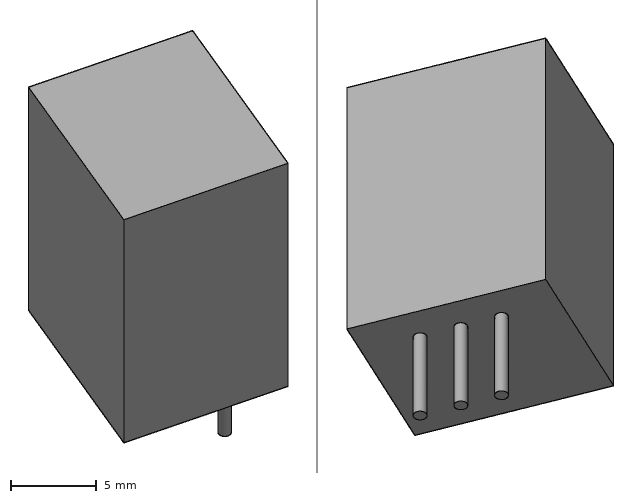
import cadquery as cq

TOTAL_HEIGHT = 23.82
HOUSING_WIDTH = 12.45
HOUSING_DEPTH = 10.67
HOUSING_HEIGHT = 17.98

PIN_COUNT = 3
PIN_DIAMETER = 0.8
PIN_PITCH = 2.55
PIN_ROW_Y = 3.05
PIN_LENGTH = TOTAL_HEIGHT - HOUSING_HEIGHT


def make_housing():
    """Plain rectangular block standing on the upper ends of the pins."""
    return (
        cq.Workplane("XY")
        .workplane(offset=PIN_LENGTH)
        .rect(HOUSING_WIDTH, HOUSING_DEPTH)
        .extrude(HOUSING_HEIGHT)
    )


def make_pin(x):
    """Straight round pin whose upper end touches the housing's underside."""
    return (
        cq.Workplane("XY")
        .center(x, PIN_ROW_Y)
        .circle(PIN_DIAMETER / 2)
        .extrude(PIN_LENGTH)
    )


housing = make_housing()

pins = []
for index in range(PIN_COUNT):
    pin_x = (index - (PIN_COUNT - 1) / 2) * PIN_PITCH
    pins.append(make_pin(pin_x))

result = cq.Compound.makeCompound([housing.val(), *[pin.val() for pin in pins]])